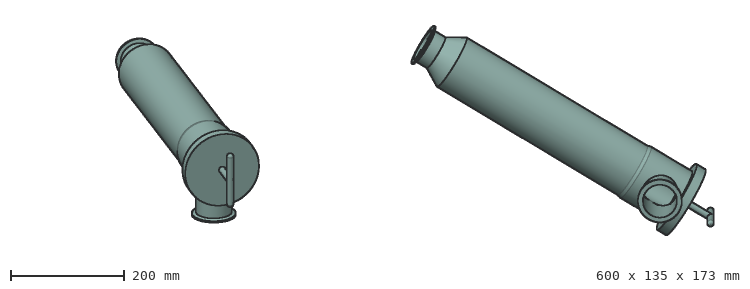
import cadquery as cq

length = 600.0
height = 173.0

pipe_diameter = 63.5
bore_diameter = 59.5
ferrule_diameter = 77.5
ferrule_rim = 3.0
ferrule_thickness = 5.5
neck_end = 27.5

body_diameter = 101.5
head_diameter = 105.0
cone_end = 60.0
head_start = 432.5
head_step_end = 439.0
flange_diameter = 135.0
flange_start = 524.0
flange_end = 543.0

outlet_x = 489.5
outlet_drop = height - flange_diameter / 2

handle_diameter = 12.0
handle_length = 101.0
handle_rounding = 5.5
handle_x = length - handle_diameter / 2

pipe_radius = pipe_diameter / 2
bore_radius = bore_diameter / 2
body_radius = body_diameter / 2
head_radius = head_diameter / 2


def revolve_about_x(points):
    """Revolve a closed (x, radius) outline around the X axis."""
    return cq.Workplane("XZ").polyline(points).close().revolve(360, (0, 0, 0), (1, 0, 0))


def make_housing():
    return revolve_about_x([
        (0, 0),
        (0, ferrule_diameter / 2),
        (ferrule_rim, ferrule_diameter / 2),
        (ferrule_thickness, pipe_radius),
        (neck_end, pipe_radius),
        (cone_end, body_radius),
        (head_start, body_radius),
        (head_step_end, head_radius),
        (flange_start, head_radius),
        (flange_start, flange_diameter / 2),
        (flange_end, flange_diameter / 2),
        (flange_end, 0),
    ])


def make_main_bore():
    """Straight bore from the inlet, closed by the end flange."""
    return cq.Workplane("YZ").circle(bore_radius).extrude(flange_start)


def make_outlet():
    """Solid branch pipe with its ferrule, from the housing axis downwards."""
    profile = [
        (0, -outlet_drop),
        (ferrule_diameter / 2, -outlet_drop),
        (ferrule_diameter / 2, -outlet_drop + ferrule_rim),
        (pipe_radius, -outlet_drop + ferrule_thickness),
        (pipe_radius, 0),
        (0, 0),
    ]
    outlet = cq.Workplane("XZ").polyline(profile).close().revolve(360, (0, 0, 0), (0, 1, 0))
    return outlet.translate((outlet_x, 0, 0))


def make_outlet_bore():
    bore = cq.Workplane("XY").circle(bore_radius).extrude(-outlet_drop)
    return bore.translate((outlet_x, 0, 0))


def make_handle():
    """Rod out of the flange carrying a vertical grip with rounded ends."""
    rod = (
        cq.Workplane("YZ", origin=(flange_start, 0, 0))
        .circle(handle_diameter / 2)
        .extrude(handle_x - flange_start)
    )
    grip = (
        cq.Workplane("XY", origin=(handle_x, 0, -handle_length / 2))
        .circle(handle_diameter / 2)
        .extrude(handle_length)
        .edges("%CIRCLE")
        .fillet(handle_rounding)
    )
    return rod.union(grip)


shell = make_housing().union(make_outlet())
shell = shell.cut(make_main_bore()).cut(make_outlet_bore())
result = shell.union(make_handle())